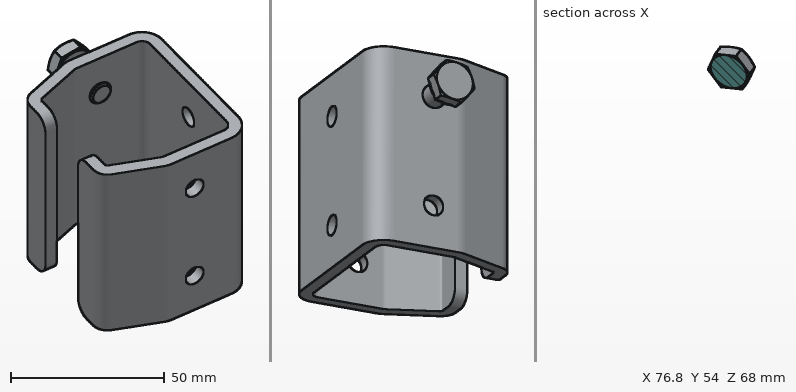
import cadquery as cq
import math

width = 61.0
depth = 54.0
height = 68.0
wall = 4.5
back_bend_radius = 7.7
side_bend_radius = 7.7
lip_bend_radius = 5.5
taper_angle = 20.0
straight_side = 32.4
mouth_width = 19.5
lip_corner_radius = 5.0

hole_diameter = 6.9
hole_end_distance = 14.9
side_hole_depth = 22.05

total_length = 76.8
shank_diameter = 8.0
head_height = 4.8
washer_height = 0.5
head_across_flats = 13.05
head_turn = 9.5
head_chamfer_angle = 30.0
shank_length = 16.1
neck_radius = 0.3
tip_chamfer = 0.6

half_width = width / 2
back_y = depth / 2
front_y = -back_y
side_bend_y = back_y - straight_side
lip_bend_x = half_width - (side_bend_y - front_y) * math.tan(math.radians(taper_angle))
hole_y = back_y - side_hole_depth
low_hole_z = hole_end_distance
high_hole_z = height - hole_end_distance


def make_channel():
    """Closed tube with the bent outline, opened along the middle of its front."""
    outer = (
        cq.Workplane("XY")
        .polyline([
            (-half_width, back_y),
            (half_width, back_y),
            (half_width, side_bend_y),
            (lip_bend_x, front_y),
            (-lip_bend_x, front_y),
            (-half_width, side_bend_y),
        ])
        .close()
        .extrude(height)
    )
    outer = outer.edges("|Z and >Y").fillet(back_bend_radius)
    outer = outer.edges("|Z and <Y").fillet(lip_bend_radius)
    for side in (-1, 1):
        bend = cq.selectors.NearestToPointSelector((side * half_width, side_bend_y, height / 2))
        outer = outer.edges("|Z").edges(bend).fillet(side_bend_radius)
    floor_outline = outer.faces("<Z").wires().val()
    cavity_outline = floor_outline.offset2D(-wall)[0]
    cavity = cq.Solid.extrudeLinear(cavity_outline, [], cq.Vector(0, 0, height))
    mouth = cq.Workplane("XY").box(mouth_width, depth / 2, height, centered=(True, False, False))
    return outer.cut(cq.Workplane(cavity)).cut(mouth.translate((0, front_y, 0)))


def round_lip_corners(channel):
    """Round the top and bottom corners of both lips beside the mouth."""
    half_mouth = mouth_width / 2
    for side in (-1, 1):
        for z in (0, height):
            corner = cq.selectors.NearestToPointSelector((side * half_mouth, front_y + wall / 2, z))
            channel = channel.edges("|Y").edges(corner).fillet(lip_corner_radius)
    return channel


def make_bracket():
    bracket = round_lip_corners(make_channel())
    hole_radius = hole_diameter / 2
    for z in (low_hole_z, high_hole_z):
        back_hole = cq.Solid.makeCylinder(
            hole_radius, depth / 2, cq.Vector(0, 0, z), cq.Vector(0, 1, 0))
        right_hole = cq.Solid.makeCylinder(
            hole_radius, half_width, cq.Vector(0, hole_y, z), cq.Vector(1, 0, 0))
        bracket = bracket.cut(cq.Workplane(back_hole)).cut(cq.Workplane(right_hole))
    left_holes = ((low_hole_z, hole_diameter), (high_hole_z, shank_diameter))
    for z, diameter in left_holes:
        left_hole = cq.Solid.makeCylinder(
            diameter / 2, half_width, cq.Vector(0, hole_y, z), cq.Vector(-1, 0, 0))
        bracket = bracket.cut(cq.Workplane(left_hole))
    return bracket


def make_head():
    """Hexagon with its outer corners turned off by a cone."""
    flat_radius = head_across_flats / 2
    corner_radius = flat_radius / math.cos(math.radians(30))
    chamfer_length = (corner_radius - flat_radius) * math.tan(math.radians(head_chamfer_angle))
    hexagon = (
        cq.Workplane("YZ")
        .polygon(6, 2 * corner_radius)
        .extrude(head_height)
        .rotate((0, 0, 0), (1, 0, 0), head_turn)
    )
    turned_blank = (
        cq.Workplane("XY")
        .polyline([
            (0, 0),
            (0, flat_radius),
            (chamfer_length, corner_radius),
            (head_height, corner_radius),
            (head_height, 0),
        ])
        .close()
        .revolve(360, (0, 0, 0), (1, 0, 0))
    )
    return hexagon.intersect(turned_blank)


def make_bolt():
    bearing_x = head_height + washer_height
    tip_x = bearing_x + shank_length
    washer_radius = head_across_flats / 2
    shank_radius = shank_diameter / 2
    neck_middle = neck_radius * (1 - math.sqrt(0.5))
    turned_part = (
        cq.Workplane("XY")
        .moveTo(head_height, 0)
        .lineTo(head_height, washer_radius)
        .lineTo(bearing_x, washer_radius)
        .lineTo(bearing_x, shank_radius + neck_radius)
        .threePointArc(
            (bearing_x + neck_middle, shank_radius + neck_middle),
            (bearing_x + neck_radius, shank_radius),
        )
        .lineTo(tip_x - tip_chamfer, shank_radius)
        .lineTo(tip_x, shank_radius - tip_chamfer)
        .lineTo(tip_x, 0)
        .close()
        .revolve(360, (0, 0, 0), (1, 0, 0))
    )
    head_x = half_width - total_length
    return make_head().union(turned_part).translate((head_x, hole_y, high_hole_z))


bracket = make_bracket()
bolt = make_bolt()

result = cq.Compound.makeCompound([bracket.solids().val(), bolt.solids().val()])